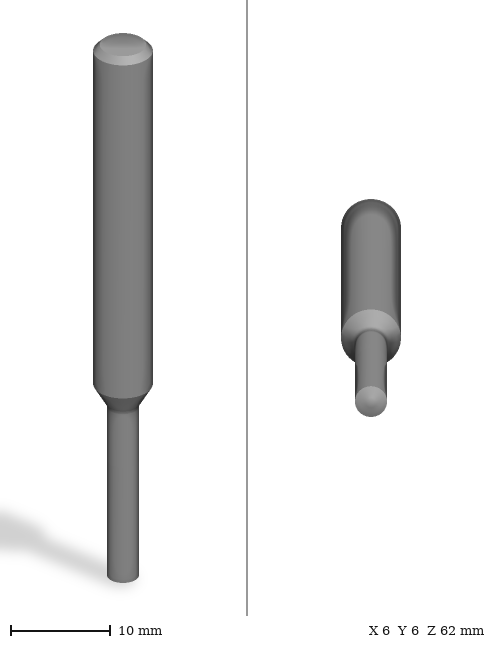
import cadquery as cq
import math

total_length = 62.0
shank_diameter = 6.0
cutter_diameter = 3.2
point_angle = 140.0
cutter_length = 13.95
neck_length = 6.4
cone_length = 2.4
end_chamfer = 0.7
neck_fillet = 0.75

shank_radius = shank_diameter / 2
cutter_radius = cutter_diameter / 2
point_height = cutter_radius / math.tan(math.radians(point_angle / 2))
cone_start = cutter_length + neck_length
cone_end = cone_start + cone_length


def revolve_profile(points):
    """Turn a closed (radius, height) outline around the Z axis."""
    return cq.Workplane("XZ").polyline(points).close().revolve(360, (0, 0), (0, 1))


def make_cutter():
    """Cylindrical cutting part with a conical point."""
    return revolve_profile([
        (0, 0),
        (cutter_radius, point_height),
        (cutter_radius, cutter_length),
        (0, cutter_length),
    ])


def make_shank():
    """Neck, cone and chamfered clamping shank, seated on the cutter."""
    blank = revolve_profile([
        (0, cutter_length),
        (cutter_radius, cutter_length),
        (cutter_radius, cone_start),
        (shank_radius, cone_end),
        (shank_radius, total_length - end_chamfer),
        (shank_radius - end_chamfer, total_length),
        (0, total_length),
    ])
    neck_end = cq.selectors.BoxSelector(
        (-shank_radius, -shank_radius, cone_start - neck_fillet),
        (shank_radius, shank_radius, cone_start + neck_fillet),
    )
    return blank.edges("%CIRCLE").edges(neck_end).fillet(neck_fillet)


cutter = make_cutter()
shank = make_shank()
result = cq.Compound.makeCompound([cutter.val(), shank.val()])